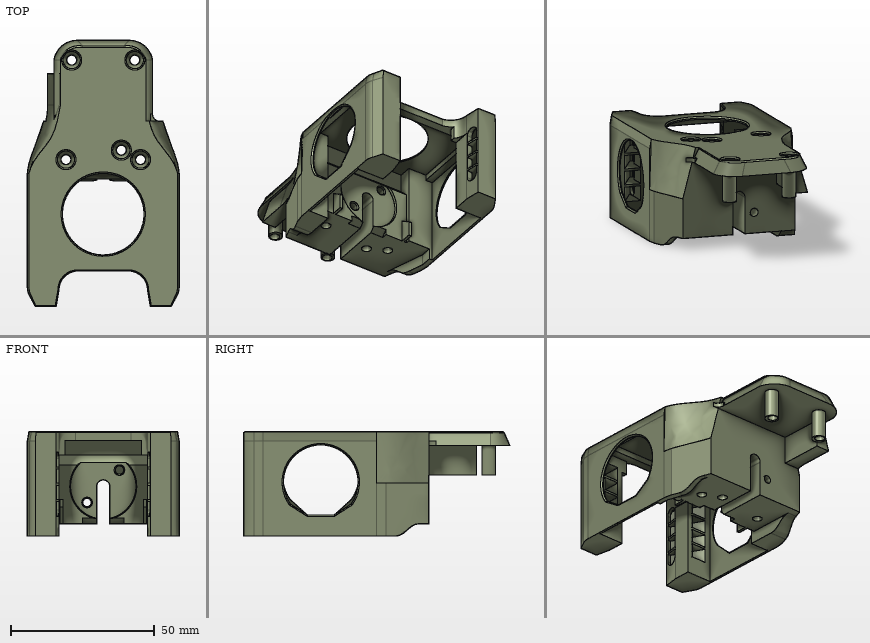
import cadquery as cq
import math

WIDTH = 53.0
LENGTH = 92.83
HEIGHT = 36.49
HALF = WIDTH / 2

TOP_CHAMFER = 0.4
EDGE_TAPER = 0.6
EDGE_TAPER_Z = 33.1
NOSE_HALF = 23.7
NOSE_LENGTH = 5.2
NOSE_ROUND_START_Y = 3.6
NOSE_ROUND_END_Y = 6.7
NOSE_ROUND_IN = 0.86
NOSE_ROUND_MID_IN = 0.2
SHOULDER_Y = 46.4
SHOULDER_BEND = (26.0, 49.7)
BACK_HALF = 20.8
BACK_Y = 64.6
RISE_START_Y = 52.5
RISE_END_Y = 61.5
SHOULDER_Z = 18.5

NECK_HALF_TOP = 14.9
NECK_HALF_BOTTOM = 17.2
NECK_START_Y = 70.3
NECK_CORNER_Y = 86.0
NECK_TOP_END_Y = 90.8
NECK_CORNER_BOTTOM = (15.1, 90.2)
NECK_CORNER_BROW = (13.3, 88.9)
NECK_CORNER_TOP = (13.1, 88.5)
NECK_FLAT_BOTTOM = 9.0
NECK_FLAT_TOP = 7.2
NECK_BREAK = 0.5
NECK_PLATE_Z = 31.57
NECK_WALL_HALF = 20.3
NECK_WALL_INNER = 14.0
NECK_WALL_Z = 21.3
NECK_WALL_END_Y = 81.2
NECK_STEP_FILLET = 2.5

CEILING_Z = 33.3
ROOF_Z = 35.5
ROOF_HALF = 23.0
FRONT_BAR_END_Y = 15.5
FAN_HALF = 25.7
FAN_START_Y = 12.3
FAN_END_Y = 42.3
LEG_INNER = 15.4
CHANNEL_LEFT = 18.2
CHANNEL_RIGHT = 15.9
LEG_FRONT_INNER = 16.4
LEG_BEND_Y = 5.8
GUSSET_INNER = 13.3
GUSSET_Z = 28.3
BACK_WALL_Y = 43.7
BACK_WALL_TOP_Z = 24.9
BACK_WALL_BOTTOM_Z = 4.3
RELIEF_FRONT_X = 24.5
RELIEF_BACK_X = 19.0
WALL_SLOPE = 3.4

TOP_HOLE_D = 28.4
TOP_HOLE_Y = 32.2
RIM_CHAMFER = 0.5
MOUTH_HALF = 9.7
MOUTH_CORNER = (13.3, 10.6)
SIDE_HOLE_Y = 26.9
SIDE_HOLE_FLAT_HALF = 4.7
SIDE_HOLE_FLAT_Z = 7.4
SIDE_HOLE_JOIN_ANGLE = 216
LEFT_HOLE_R = 13.2
LEFT_HOLE_Z = 20.6
RIGHT_HOLE_R = 13.0
RIGHT_HOLE_Z = 18.8

SCREW_D = 3.4
HEAD_D = 6.0
HEAD_DEPTH = 1.0
HEAD_CONE_DEPTH = 1.3
HEAD_CHAMFER = 0.5
NECK_SCREWS = [(-11.0, 85.9), (11.0, 85.9)]
BODY_SCREWS = [(-13.0, 51.2), (13.0, 51.2), (6.3, 54.5)]
POST_D = 4.8
POST_Y = 85.45

SEAT_R = 11.7
SEAT_Z = 17.4
SEAT_DEPTH = 0.7
SEAT_CHAMFER = 0.3
SLOT_WIDTH = 4.5
SLOT_TOP_Z = 19.6
SEAT_SCREW_D = 2.9
SEAT_SCREW_CHAMFER = 0.4
SEAT_SCREW_OFFSET = 5.65
BLIND_DEPTH = 8.0
BEVEL_HALF = 7.2
BEVEL = 2.1

FIN_OUTER = 15.0
FIN_THICKNESS = 1.0
FIN_REACH = 4.2
FIN_TOP_Z = 12.85
FIN_TIP_Z = 10.1

OUTLET_BOTTOM_Z = 6.8
OUTLET_TOP_Z = 29.4
OUTLET_ROUND = 2.25
OUTLET_FRONT_Y = 0.9
OUTLET_DEPTH_X = 17.4
DUCT_INNER_X = 17.5
DUCT_OUTER_X = 23.5
OUTLET_COUNT = 4
VANE_THICKNESS = 0.8


def box(x0, x1, y0, y1, z0, z1):
    return cq.Workplane("XY").box(x1 - x0, y1 - y0, z1 - z0, centered=False).translate((x0, y0, z0))


def mirrored(points):
    """Mirror points across the YZ plane, in reverse order."""
    return [(-x, y) for x, y in reversed(points)]


def loft_between(lower_wire, upper_wire):
    return cq.Workplane(cq.Solid.makeLoft([lower_wire, upper_wire], True))


def body_wire(inset, z):
    """Straight-sided outline of the body with slanted, rounded nose corners."""
    nose = NOSE_HALF - inset / 2
    half = HALF - inset
    start_x, start_y = half - NOSE_ROUND_IN, NOSE_ROUND_START_Y
    mid = (half - NOSE_ROUND_MID_IN, NOSE_LENGTH)
    end = (half, NOSE_ROUND_END_Y)
    return (
        cq.Workplane("XY").workplane(offset=z)
        .moveTo(nose, 0)
        .lineTo(start_x, start_y)
        .threePointArc(mid, end)
        .lineTo(half, SHOULDER_Y)
        .lineTo(-half, SHOULDER_Y)
        .lineTo(-half, NOSE_ROUND_END_Y)
        .threePointArc((-mid[0], mid[1]), (-start_x, start_y))
        .lineTo(-nose, 0)
        .close().wires().val()
    )


def main_body():
    lower = loft_between(body_wire(0, 0), body_wire(0, EDGE_TAPER_Z))
    upper = loft_between(body_wire(0, EDGE_TAPER_Z), body_wire(EDGE_TAPER, HEIGHT))
    rear_side = [(HALF, SHOULDER_Y), SHOULDER_BEND, (BACK_HALF, BACK_Y)]
    rear = cq.Workplane("XY").polyline(rear_side + mirrored(rear_side)).close().extrude(SHOULDER_Z)
    return lower.union(upper).union(rear)


def shoulder_wire(side_points, z):
    """Closed section: curved flanks, then straight neck sides up to the end of the neck wall."""
    half = side_points[-1][0]
    left = mirrored(side_points)
    return (
        cq.Workplane("XY").workplane(offset=z)
        .moveTo(*side_points[0])
        .spline(side_points[1:], includeCurrent=True)
        .lineTo(half, NECK_WALL_END_Y)
        .lineTo(-half, NECK_WALL_END_Y)
        .lineTo(*left[0])
        .spline(left[1:], includeCurrent=True)
        .close().wires().val()
    )


def shoulders():
    lower_side = [(HALF, SHOULDER_Y), (24.2, 55.0), (BACK_HALF, BACK_Y), (NECK_WALL_HALF, NECK_START_Y)]
    upper_side = [
        (HALF - EDGE_TAPER, SHOULDER_Y),
        (22.6, 52.9),
        (18.1, 59.0),
        (15.9, 65.2),
        (NECK_HALF_TOP, NECK_START_Y),
    ]
    blend = loft_between(shoulder_wire(lower_side, SHOULDER_Z), shoulder_wire(upper_side, HEIGHT))
    shoulder_block = box(-HALF, HALF, SHOULDER_Y, BACK_Y, 0, HEIGHT)
    wall_block = box(-HALF, -NECK_WALL_INNER, BACK_Y, NECK_WALL_END_Y, NECK_WALL_Z, HEIGHT)
    return blend.intersect(shoulder_block.union(wall_block))


def neck_step():
    """Concave fillet where the right side of the neck meets the back of the body."""
    r = NECK_STEP_FILLET
    web = box(NECK_HALF_TOP, NECK_HALF_BOTTOM + r, BACK_Y, BACK_Y + r, NECK_PLATE_Z, EDGE_TAPER_Z)
    rounding = cq.Workplane("XY").center(NECK_HALF_BOTTOM + r, BACK_Y + r).circle(r).extrude(HEIGHT)
    return web.cut(rounding)


def neck_wire(half, end_y, corner_mid, flat_half, z):
    return (
        cq.Workplane("XY").workplane(offset=z)
        .moveTo(half, BACK_Y)
        .lineTo(half, NECK_CORNER_Y)
        .threePointArc(corner_mid, (flat_half, end_y))
        .lineTo(-flat_half, end_y)
        .threePointArc((-corner_mid[0], corner_mid[1]), (-half, NECK_CORNER_Y))
        .lineTo(-half, BACK_Y)
        .close().wires().val()
    )


def neck():
    bottom = neck_wire(NECK_HALF_BOTTOM, LENGTH, NECK_CORNER_BOTTOM, NECK_FLAT_BOTTOM, NECK_PLATE_Z)
    brow = neck_wire(NECK_HALF_TOP, NECK_TOP_END_Y, NECK_CORNER_BROW, NECK_FLAT_TOP, HEIGHT - NECK_BREAK)
    top = neck_wire(NECK_HALF_TOP, NECK_TOP_END_Y - NECK_BREAK, NECK_CORNER_TOP, NECK_FLAT_TOP, HEIGHT)
    plate = loft_between(bottom, brow).union(loft_between(brow, top))
    posts = (
        cq.Workplane("XY").workplane(offset=NECK_WALL_Z)
        .pushPoints([(x, POST_Y) for x, _ in NECK_SCREWS])
        .circle(POST_D / 2).extrude(NECK_PLATE_Z - NECK_WALL_Z)
    )
    return plate.union(posts)


def rear_underside_cut():
    """S-shaped rise of the bottom face behind the fan bays."""
    middle = ((RISE_START_Y + RISE_END_Y) / 2, BACK_WALL_BOTTOM_Z / 2)
    return (
        cq.Workplane("YZ").workplane(offset=-HALF)
        .moveTo(RISE_START_Y, 0)
        .spline([middle, (RISE_END_Y, BACK_WALL_BOTTOM_Z)], tangents=[(1, 0), (1, 0)], includeCurrent=True)
        .lineTo(BACK_Y, BACK_WALL_BOTTOM_Z)
        .lineTo(BACK_Y, 0)
        .close().extrude(WIDTH)
    )


def inner_space():
    bays = box(-FAN_HALF, FAN_HALF, FAN_START_Y, FAN_END_Y, 0, CEILING_Z)
    channel = (
        cq.Workplane("YZ").workplane(offset=-CHANNEL_LEFT)
        .polyline([
            (FAN_START_Y, 0),
            (BACK_Y, 0),
            (BACK_Y, BACK_WALL_BOTTOM_Z),
            (BACK_WALL_Y, BACK_WALL_BOTTOM_Z),
            (BACK_WALL_Y, BACK_WALL_TOP_Z),
            (BACK_WALL_Y + WALL_SLOPE, BACK_WALL_TOP_Z + WALL_SLOPE),
            (BACK_WALL_Y + WALL_SLOPE, CEILING_Z),
            (FAN_START_Y, CEILING_Z),
        ])
        .close().extrude(CHANNEL_LEFT + CHANNEL_RIGHT)
    )
    roof_end_y = BACK_WALL_Y + WALL_SLOPE
    middle_roof = box(-CHANNEL_LEFT, CHANNEL_RIGHT, FRONT_BAR_END_Y, roof_end_y, CEILING_Z, ROOF_Z)
    bay_roof = box(-ROOF_HALF, ROOF_HALF, FRONT_BAR_END_Y, FAN_END_Y, CEILING_Z, ROOF_Z)
    right_relief = (
        cq.Workplane("XY")
        .polyline([
            (CHANNEL_RIGHT, FAN_END_Y),
            (RELIEF_FRONT_X, FAN_END_Y),
            (RELIEF_FRONT_X, SHOULDER_Y),
            (RELIEF_BACK_X, BACK_Y),
            (CHANNEL_RIGHT, BACK_Y),
        ])
        .close().extrude(BACK_WALL_BOTTOM_Z)
    )
    return bays.union(channel).union(middle_roof).union(bay_roof).union(right_relief)


def leg_gap():
    """Space between the legs with the rounded mouth in the top plate."""
    bend = (LEG_INNER, LEG_BEND_Y)
    front = (LEG_FRONT_INNER, 0)
    right_mid = MOUTH_CORNER
    plate_mouth = (
        cq.Workplane("XY")
        .moveTo(*front).lineTo(*bend)
        .threePointArc(right_mid, (MOUTH_HALF, FAN_START_Y))
        .lineTo(-MOUTH_HALF, FAN_START_Y)
        .threePointArc((-right_mid[0], right_mid[1]), (-bend[0], bend[1]))
        .lineTo(-front[0], 0)
        .close().extrude(HEIGHT)
    )
    side = [front, bend, (LEG_INNER, FAN_START_Y)]
    below_plate = cq.Workplane("XY").polyline(side + mirrored(side)).close().extrude(CEILING_Z)
    gusset = box(GUSSET_INNER, LEG_INNER, LEG_BEND_Y, FAN_START_Y, GUSSET_Z, CEILING_Z)
    below_plate = below_plate.cut(gusset).cut(gusset.mirror("YZ"))
    return plate_mouth.union(below_plate)


def top_hole():
    hole = cq.Workplane("XY").center(0, TOP_HOLE_Y).circle(TOP_HOLE_D / 2).extrude(HEIGHT)
    hole = hole.intersect(box(-HALF, HALF, 0, BACK_WALL_Y + WALL_SLOPE, CEILING_Z, HEIGHT))
    rim = cq.Solid.makeCone(
        TOP_HOLE_D / 2,
        TOP_HOLE_D / 2 + RIM_CHAMFER,
        RIM_CHAMFER,
        cq.Vector(0, TOP_HOLE_Y, HEIGHT - RIM_CHAMFER),
    )
    return hole.union(cq.Workplane(rim))


def side_hole_wire(x, radius, center_z, grow):
    """Circle whose lower part runs straight down to a flat sill."""
    r = radius + grow
    sill_z = SIDE_HOLE_FLAT_Z - grow
    join_angle = math.radians(SIDE_HOLE_JOIN_ANGLE)
    join_y = r * math.cos(join_angle)
    join_z = center_z + r * math.sin(join_angle)
    return (
        cq.Workplane("YZ").workplane(offset=x)
        .moveTo(SIDE_HOLE_Y + join_y, join_z)
        .threePointArc((SIDE_HOLE_Y, center_z + r), (SIDE_HOLE_Y - join_y, join_z))
        .lineTo(SIDE_HOLE_Y + SIDE_HOLE_FLAT_HALF, sill_z)
        .lineTo(SIDE_HOLE_Y - SIDE_HOLE_FLAT_HALF, sill_z)
        .close().wires().val()
    )


def side_hole(sign, radius, center_z):
    inner_x = sign * (FAN_HALF - RIM_CHAMFER)
    rim_x = sign * (HALF - RIM_CHAMFER)
    outer_x = sign * HALF
    straight = loft_between(
        side_hole_wire(inner_x, radius, center_z, 0), side_hole_wire(rim_x, radius, center_z, 0)
    )
    rim = loft_between(
        side_hole_wire(rim_x, radius, center_z, 0), side_hole_wire(outer_x, radius, center_z, RIM_CHAMFER)
    )
    return straight.union(rim)


def screw_hole(x, y):
    shank = cq.Workplane("XY").center(x, y).circle(SCREW_D / 2).extrude(HEIGHT)
    head = (
        cq.Workplane("XY").workplane(offset=HEIGHT - HEAD_DEPTH)
        .center(x, y).circle(HEAD_D / 2).extrude(HEAD_DEPTH)
    )
    rim = cq.Solid.makeCone(
        HEAD_D / 2, HEAD_D / 2 + HEAD_CHAMFER, HEAD_CHAMFER, cq.Vector(x, y, HEIGHT - HEAD_CHAMFER)
    )
    cone = cq.Solid.makeCone(
        SCREW_D / 2, HEAD_D / 2, HEAD_CONE_DEPTH, cq.Vector(x, y, HEIGHT - HEAD_DEPTH - HEAD_CONE_DEPTH)
    )
    return shank.union(head).union(cq.Workplane(cone)).union(cq.Workplane(rim))


def seat_screw_hole(x, z, depth):
    floor_y = BACK_WALL_Y + SEAT_DEPTH
    radius = SEAT_SCREW_D / 2
    axis = cq.Vector(0, 1, 0)
    start = cq.Vector(x, floor_y, z)
    shank = cq.Solid.makeCylinder(radius, depth, start, axis)
    rim = cq.Solid.makeCone(radius + SEAT_SCREW_CHAMFER, radius, SEAT_SCREW_CHAMFER, start, axis)
    return cq.Workplane(shank).union(cq.Workplane(rim))


def hot_end_seat():
    recess = cq.Workplane(
        cq.Solid.makeCone(
            SEAT_R,
            SEAT_R - SEAT_CHAMFER,
            SEAT_DEPTH,
            cq.Vector(0, BACK_WALL_Y, SEAT_Z),
            cq.Vector(0, 1, 0),
        )
    )
    slot_r = SLOT_WIDTH / 2
    slot_depth = BACK_Y - BACK_WALL_Y
    slot_center_z = SLOT_TOP_Z - slot_r
    slot = box(-slot_r, slot_r, BACK_WALL_Y, BACK_Y, BACK_WALL_BOTTOM_Z, slot_center_z)
    arch = cq.Solid.makeCylinder(
        slot_r, slot_depth, cq.Vector(0, BACK_WALL_Y, slot_center_z), cq.Vector(0, 1, 0)
    )
    slot = slot.union(cq.Workplane(arch))
    bevel = (
        cq.Workplane("YZ").workplane(offset=-BEVEL_HALF)
        .polyline([
            (BACK_WALL_Y, BACK_WALL_BOTTOM_Z),
            (BACK_WALL_Y + BEVEL, BACK_WALL_BOTTOM_Z),
            (BACK_WALL_Y, BACK_WALL_BOTTOM_Z + BEVEL),
        ])
        .close().extrude(2 * BEVEL_HALF)
    )
    upper_screw = seat_screw_hole(SEAT_SCREW_OFFSET, SEAT_Z + SEAT_SCREW_OFFSET, BLIND_DEPTH)
    lower_screw = seat_screw_hole(-SEAT_SCREW_OFFSET, SEAT_Z - SEAT_SCREW_OFFSET, slot_depth)
    return recess.union(slot).union(bevel).union(upper_screw).union(lower_screw)


def fin(sign):
    blade = (
        cq.Workplane("YZ").workplane(offset=FIN_OUTER - FIN_THICKNESS)
        .polyline([
            (BACK_WALL_Y, BACK_WALL_BOTTOM_Z),
            (BACK_WALL_Y, FIN_TOP_Z),
            (BACK_WALL_Y - FIN_REACH, FIN_TIP_Z),
            (BACK_WALL_Y - FIN_REACH, BACK_WALL_BOTTOM_Z),
        ])
        .close().extrude(FIN_THICKNESS)
    )
    return blade if sign > 0 else blade.mirror("YZ")


def air_outlet(sign):
    """Duct from the fan bay to a round-ended slot in the inner leg face, split by level vanes."""
    height = OUTLET_TOP_Z - OUTLET_BOTTOM_Z
    mouth_y = OUTLET_FRONT_Y + OUTLET_ROUND
    mouth_y_end = mouth_y + OUTLET_ROUND
    mouth_x = LEG_INNER
    duct = (
        cq.Workplane("XY").workplane(offset=OUTLET_BOTTOM_Z)
        .polyline([
            (mouth_x, OUTLET_FRONT_Y),
            (OUTLET_DEPTH_X, OUTLET_FRONT_Y),
            (DUCT_OUTER_X, FAN_START_Y),
            (DUCT_INNER_X, FAN_START_Y),
            (mouth_x, mouth_y_end),
        ])
        .close().extrude(height)
    )
    mouth = (
        cq.Workplane("YZ").center(mouth_y, (OUTLET_BOTTOM_Z + OUTLET_TOP_Z) / 2)
        .slot2D(height, 2 * OUTLET_ROUND, 90).extrude(OUTLET_DEPTH_X)
    )
    behind_mouth = box(OUTLET_DEPTH_X, HALF, 0, FAN_START_Y, 0, HEIGHT)
    duct = duct.intersect(mouth.union(behind_mouth))
    pitch = height / OUTLET_COUNT
    for i in range(1, OUTLET_COUNT):
        z = OUTLET_BOTTOM_Z + i * pitch
        duct = duct.cut(box(0, HALF, 0, FAN_START_Y, z - VANE_THICKNESS / 2, z + VANE_THICKNESS / 2))
    return duct if sign > 0 else duct.mirror("YZ")


result = main_body().union(shoulders()).union(neck()).union(neck_step())
result = result.cut(leg_gap())
mouth_edges = cq.selectors.BoxSelector((-NOSE_HALF, -1, CEILING_Z), (NOSE_HALF, FAN_START_Y + 1, HEIGHT + 1))
result = result.faces(">Z").edges(mouth_edges).chamfer(TOP_CHAMFER)
result = result.cut(rear_underside_cut()).cut(inner_space())
result = result.cut(top_hole()).cut(hot_end_seat())
result = result.cut(side_hole(-1, LEFT_HOLE_R, LEFT_HOLE_Z)).cut(side_hole(1, RIGHT_HOLE_R, RIGHT_HOLE_Z))
for side in (-1, 1):
    result = result.union(fin(side)).cut(air_outlet(side))
for screw_x, screw_y in NECK_SCREWS + BODY_SCREWS:
    result = result.cut(screw_hole(screw_x, screw_y))